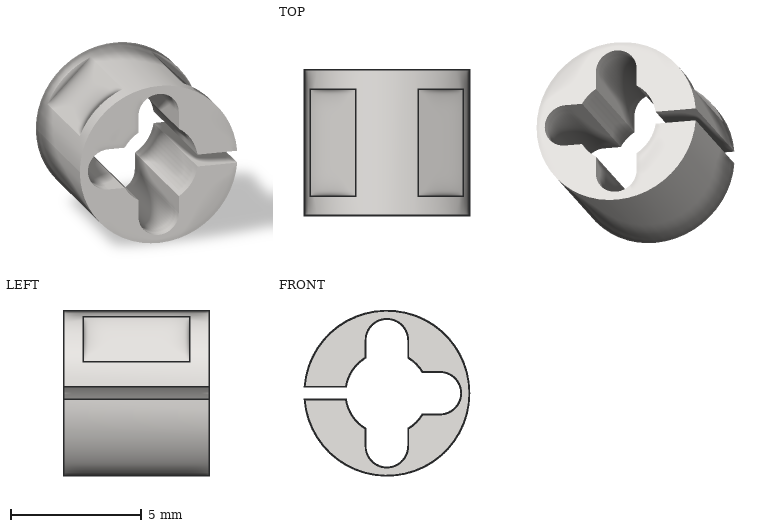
import cadquery as cq
import math

OUTER_DIAMETER = 6.35
LENGTH = 5.61
BORE_DIAMETER = 3.175

LOBE_WIDTH = 1.625
LOBE_REACH = 2.85
LOBE_ANGLES = (0, 90, 270)

SLIT_WIDTH = 0.48

FLAT_LENGTH = 4.1
FLAT_WIDTH = 2.46
FLAT_ANGLES = (45, 135)

OUTER_RADIUS = OUTER_DIAMETER / 2


def turn_about_axis(body, angle):
    """Turn a body from +X towards +Z about the sleeve axis."""
    return body.rotate((0, 0, 0), (0, -1, 0), angle)


def make_lobe():
    """Cutter for one lobe along +X, starting at the sleeve axis."""
    tip_centre = LOBE_REACH - LOBE_WIDTH / 2
    straight = cq.Workplane("XY").box(tip_centre, LENGTH, LOBE_WIDTH, centered=(False, True, True))
    tip = (
        cq.Workplane("XZ")
        .center(tip_centre, 0)
        .circle(LOBE_WIDTH / 2)
        .extrude(LENGTH / 2, both=True)
    )
    return straight.union(tip)


def make_flat():
    """Cutter that leaves a flat facing +X, a chord FLAT_WIDTH wide across the outer surface."""
    flat_distance = math.sqrt(OUTER_RADIUS**2 - (FLAT_WIDTH / 2) ** 2)
    return (
        cq.Workplane("XY")
        .box(OUTER_RADIUS, FLAT_LENGTH, OUTER_DIAMETER, centered=(False, True, True))
        .translate((flat_distance, 0, 0))
    )


def make_slit():
    """Cutter from the sleeve axis out through the -X wall."""
    return (
        cq.Workplane("XY")
        .box(OUTER_DIAMETER, LENGTH, SLIT_WIDTH)
        .translate((-OUTER_RADIUS, 0, 0))
    )


sleeve = (
    cq.Workplane("XZ")
    .circle(OUTER_RADIUS)
    .circle(BORE_DIAMETER / 2)
    .extrude(LENGTH / 2, both=True)
)

for lobe_angle in LOBE_ANGLES:
    sleeve = sleeve.cut(turn_about_axis(make_lobe(), lobe_angle))

for flat_angle in FLAT_ANGLES:
    sleeve = sleeve.cut(turn_about_axis(make_flat(), flat_angle))

result = sleeve.cut(make_slit())